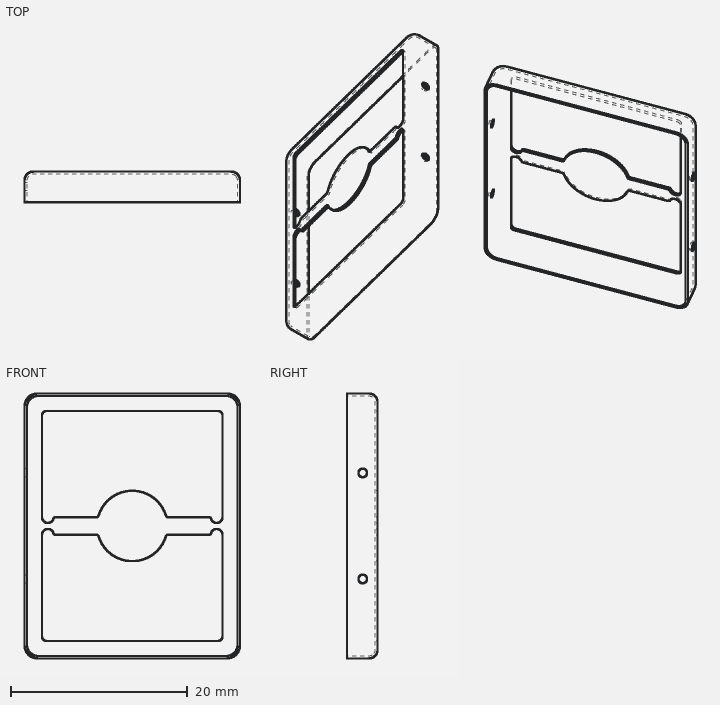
import cadquery as cq

width = 24.4
depth = 3.5
height = 30.0
corner_radius = 1.5
back_edge_radius = 1.0

wall = 0.3
floor_thickness = 0.3
inner_corner_radius = corner_radius - wall
inner_edge_radius = back_edge_radius - wall

window_margin = 2.0
window_width = width - 2 * window_margin
window_height = height - 2 * window_margin
window_corner_radius = 0.5

disc_radius = 4.0
bar_height = 2.0
notch_radius = 0.65
notch_offset = window_width / 2 - notch_radius
bridge_corner_radius = 0.25

pin_hole_diameter = 0.95
pin_hole_spacing = 12.0
pin_hole_to_rim = 1.8
pin_hole_y = pin_hole_to_rim - depth / 2

back_y = depth / 2
floor_y = back_y - floor_thickness


def plane_at(y):
    """Work plane at the given Y, with local x along X, local y along Z and its normal toward -Y."""
    return cq.Workplane("XZ", origin=(0, y, 0))


def rounded_block(block_width, block_height, back, length, corner, back_edge):
    """Block reaching from its back face toward -Y, with rounded corners and a rounded back edge."""
    block = plane_at(back).rect(block_width, block_height).extrude(length)
    block = block.edges("|Y").fillet(corner)
    return block.faces(">Y").edges().fillet(back_edge)


def make_tray():
    """Outer block hollowed from the front, leaving an even wall, floor and rounded back edge."""
    outer = rounded_block(width, height, back_y, depth, corner_radius, back_edge_radius)
    cavity = rounded_block(
        width - 2 * wall,
        height - 2 * wall,
        floor_y,
        depth - floor_thickness,
        inner_corner_radius,
        inner_edge_radius,
    )
    return outer.cut(cavity)


def make_bridge():
    """Disc and bar, with round notches that neck the bar down beside the window edges."""
    disc = plane_at(back_y).circle(disc_radius).extrude(floor_thickness)
    bar = plane_at(back_y).rect(window_width, bar_height).extrude(floor_thickness)
    notch_centres = [
        (side * notch_offset, level * bar_height / 2)
        for side in (-1, 1)
        for level in (-1, 1)
    ]
    notches = plane_at(back_y).pushPoints(notch_centres).circle(notch_radius).extrude(floor_thickness)
    return disc.union(bar).cut(notches)


def bridge_corners():
    """Selector for the edges along Y where the bar meets the disc and the notches."""
    around_bar = cq.selectors.BoxSelector(
        (-notch_offset, -depth, -bar_height),
        (notch_offset, depth, bar_height),
    )
    return around_bar & cq.selectors.ParallelDirSelector(cq.Vector(0, 1, 0))


def make_window():
    """Cutter for the window, leaving the bridge standing with its corners rounded."""
    opening = plane_at(back_y).rect(window_width, window_height).extrude(floor_thickness)
    opening = opening.edges("|Y").fillet(window_corner_radius)
    opening = opening.cut(make_bridge())
    return opening.edges(bridge_corners()).fillet(bridge_corner_radius)


def make_pin_holes():
    """Cutter for the pin holes, running right across the part along X."""
    hole_centres = [(pin_hole_y, -pin_hole_spacing / 2), (pin_hole_y, pin_hole_spacing / 2)]
    pins = cq.Workplane("YZ").pushPoints(hole_centres).circle(pin_hole_diameter / 2)
    return pins.extrude(width / 2, both=True)


result = make_tray().cut(make_window()).cut(make_pin_holes())